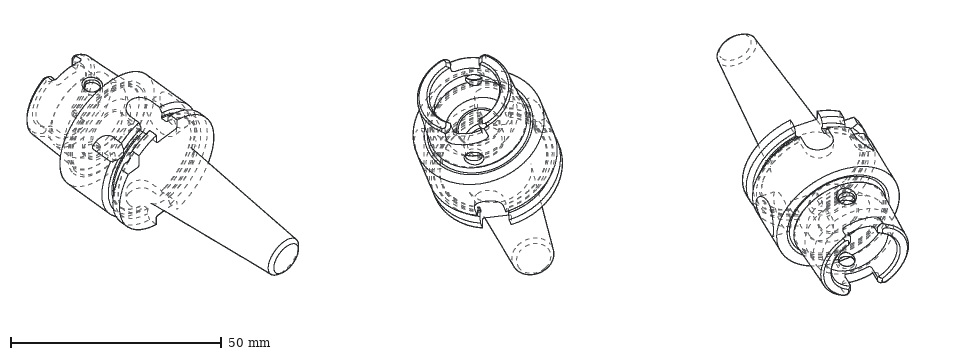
import cadquery as cq
import math

total_length = 75.9

taper_tip_radius = 11.45
taper_base_radius = 12.1
taper_end_x = 14.9
tip_chamfer = 0.5
relief_radius = 11.7
relief_depth = 0.3
relief_round = 0.7
recess_inner_radius = 12.6
recess_outer_radius = 13.3

flange_face_x = 16.0
flange_end_x = 36.0
flange_radius = 16.0
groove_start_x = 30.9
groove_end_x = 32.95
groove_radius = 13.2
groove_flank_height = 1.4
groove_flank_angle = 30
groove_flank_width = groove_flank_height * math.tan(math.radians(groove_flank_angle))
groove_corner_radius = 0.2

nose_root_radius = 8.3
nose_tip_radius = 5.1
nose_fillet = 1.5
nose_chamfer = 0.9

bore_mouth_radius = 9.0
bore_mouth_depth = 0.75
bore_radius = 8.6
clamp_shoulder_x = 6.1
clamp_groove_radius = 10.5
clamp_shoulder_angle = 60
clamp_groove_end_x = 11.9
floor_cone_angle = 30
bore_floor_radius = 8.2
pilot_radius = 5.0
pilot_mouth_chamfer = 0.3
pilot_depth = 22.8
pilot_floor_chamfer = 0.75

drive_slot_tangent_radius = 11.8
drive_slot_half_width = 3.5
drive_slot_edge_round = 1.5
drive_slot_floor_round = 0.9
drive_slot_mouth_chamfer = 0.9
drive_slot_inner_z = 4.55
upper_drive_slot_depth = 3.1
lower_drive_slot_depth = 5.0

keyway_radius = 3.5
keyway_centre_x = 27.3
keyway_floor_z = 12.8
notch_centre_y = -12.9
notch_floor_z = 9.25
keyway_floor_round = 0.45

cross_hole_x = 11.0
cross_hole_radius = 2.0
cross_hole_sink_radius = 2.6
chip_hole_x = 22.9
chip_hole_radius = 5.0
chip_hole_depth = 4.55


def revolve_about_x(outline):
    return outline.close().revolve(360, (0, 0, 0), (1, 0, 0))


def outer_body():
    flange_end = cq.selectors.NearestToPointSelector((flange_end_x, 0, 0))
    recess_floor_x = flange_face_x + relief_depth
    flank_foot_radius = flange_radius - groove_flank_height
    outline = (
        cq.Workplane("XY")
        .lineTo(0, taper_tip_radius - tip_chamfer)
        .lineTo(tip_chamfer, taper_tip_radius)
        .lineTo(taper_end_x, taper_base_radius)
        .lineTo(taper_end_x + relief_depth, relief_radius)
        .lineTo(recess_floor_x - relief_round, relief_radius)
        .radiusArc((recess_floor_x, relief_radius + relief_round), -relief_round)
        .lineTo(recess_floor_x, recess_inner_radius)
        .lineTo(flange_face_x, recess_outer_radius)
        .lineTo(flange_face_x, flange_radius)
        .lineTo(groove_start_x - groove_flank_width, flange_radius)
        .lineTo(groove_start_x, flank_foot_radius)
        .lineTo(groove_start_x, groove_radius + groove_corner_radius)
        .radiusArc(
            (groove_start_x + groove_corner_radius, groove_radius), -groove_corner_radius
        )
        .lineTo(groove_end_x - groove_corner_radius, groove_radius)
        .radiusArc(
            (groove_end_x, groove_radius + groove_corner_radius), -groove_corner_radius
        )
        .lineTo(groove_end_x, flank_foot_radius)
        .lineTo(groove_end_x + groove_flank_width, flange_radius)
        .lineTo(flange_end_x, flange_radius)
        .lineTo(flange_end_x, nose_root_radius)
        .lineTo(total_length, nose_tip_radius)
        .lineTo(total_length, 0)
    )
    body = revolve_about_x(outline)
    nose_root = cq.selectors.RadiusNthSelector(0)
    body = body.faces(flange_end).edges(nose_root).fillet(nose_fillet)
    return body.faces(">X").edges().chamfer(nose_chamfer)


def bore():
    groove_height = clamp_groove_radius - bore_radius
    shoulder_length = groove_height / math.tan(math.radians(clamp_shoulder_angle))
    floor_cone_height = clamp_groove_radius - bore_floor_radius
    floor_cone_length = floor_cone_height / math.tan(math.radians(floor_cone_angle))
    floor_x = clamp_groove_end_x + floor_cone_length
    outline = (
        cq.Workplane("XY")
        .lineTo(0, bore_mouth_radius)
        .lineTo(bore_mouth_depth, bore_radius)
        .lineTo(clamp_shoulder_x, bore_radius)
        .lineTo(clamp_shoulder_x + shoulder_length, clamp_groove_radius)
        .lineTo(clamp_groove_end_x, clamp_groove_radius)
        .lineTo(floor_x, bore_floor_radius)
        .lineTo(floor_x, pilot_radius + pilot_mouth_chamfer)
        .lineTo(floor_x + pilot_mouth_chamfer, pilot_radius)
        .lineTo(pilot_depth - pilot_floor_chamfer, pilot_radius)
        .lineTo(pilot_depth, pilot_radius - pilot_floor_chamfer)
        .lineTo(pilot_depth, 0)
    )
    return revolve_about_x(outline)


def drive_slot_outline(plane, growth):
    """Slot section with outer edges rounded over to the taper, its walls moved outward by growth."""
    wall_y = drive_slot_half_width + growth
    edge_radius = drive_slot_edge_round - growth
    centre_y = drive_slot_half_width + drive_slot_edge_round
    centre_distance = drive_slot_tangent_radius - drive_slot_edge_round
    centre_z = math.sqrt(centre_distance**2 - centre_y**2)
    surface_angle = math.atan2(centre_z, centre_y)
    middle_angle = (surface_angle + math.pi) / 2
    middle_y = centre_y + edge_radius * math.cos(middle_angle)
    middle_z = centre_z + edge_radius * math.sin(middle_angle)
    outer_y = centre_y + edge_radius * math.cos(surface_angle)
    outer_z = centre_z + edge_radius * math.sin(surface_angle)
    return (
        plane.moveTo(-wall_y, drive_slot_inner_z)
        .lineTo(wall_y, drive_slot_inner_z)
        .lineTo(wall_y, centre_z)
        .threePointArc((middle_y, middle_z), (outer_y, outer_z))
        .lineTo(outer_y, flange_radius)
        .lineTo(-outer_y, flange_radius)
        .lineTo(-outer_y, outer_z)
        .threePointArc((-middle_y, middle_z), (-wall_y, centre_z))
        .close()
    )


def drive_slot(depth):
    slot = drive_slot_outline(cq.Workplane("YZ"), 0).extrude(depth)
    slot = slot.faces(">X").edges().fillet(drive_slot_floor_round)
    mouth = drive_slot_outline(cq.Workplane("YZ"), drive_slot_mouth_chamfer)
    mouth = drive_slot_outline(mouth.workplane(offset=drive_slot_mouth_chamfer), 0)
    return slot.union(mouth.loft(ruled=True))


def keyway(centre_y, floor_z):
    height = flange_radius - floor_z
    run_out = flange_end_x - keyway_centre_x + keyway_radius
    cutter = (
        cq.Workplane("XY", origin=(keyway_centre_x, centre_y, floor_z))
        .moveTo(0, -keyway_radius)
        .lineTo(run_out, -keyway_radius)
        .lineTo(run_out, keyway_radius)
        .lineTo(0, keyway_radius)
        .threePointArc((-keyway_radius, 0), (0, -keyway_radius))
        .close()
        .extrude(height)
    )
    return cutter.faces("<Z").edges().fillet(keyway_floor_round)


def cross_hole():
    taper_rise = (taper_base_radius - taper_tip_radius) * cross_hole_x / taper_end_x
    surface_z = taper_tip_radius + taper_rise
    sink_start_z = surface_z - (cross_hole_sink_radius - cross_hole_radius)
    sink_top_radius = cross_hole_sink_radius + taper_base_radius - surface_z
    upper_half = (
        cq.Workplane("XZ", origin=(cross_hole_x, 0, 0))
        .lineTo(cross_hole_radius, 0)
        .lineTo(cross_hole_radius, sink_start_z)
        .lineTo(sink_top_radius, taper_base_radius)
        .lineTo(0, taper_base_radius)
        .close()
        .revolve(360, (0, 0, 0), (0, 1, 0))
    )
    return upper_half.union(upper_half.mirror("XY"))


def chip_hole():
    return (
        cq.Workplane("XZ", origin=(chip_hole_x, flange_radius, 0))
        .circle(chip_hole_radius)
        .extrude(chip_hole_depth)
    )


upper_drive_slot = drive_slot(upper_drive_slot_depth)
lower_drive_slot = drive_slot(lower_drive_slot_depth).mirror("XY")
upper_keyway = keyway(0, keyway_floor_z)
lower_keyway = upper_keyway.mirror("XY")
orientation_notch = keyway(notch_centre_y, notch_floor_z)

result = outer_body()
cutters = [
    bore(),
    upper_drive_slot,
    lower_drive_slot,
    upper_keyway,
    lower_keyway,
    orientation_notch,
    cross_hole(),
    chip_hole(),
]
for cutter in cutters:
    result = result.cut(cutter)